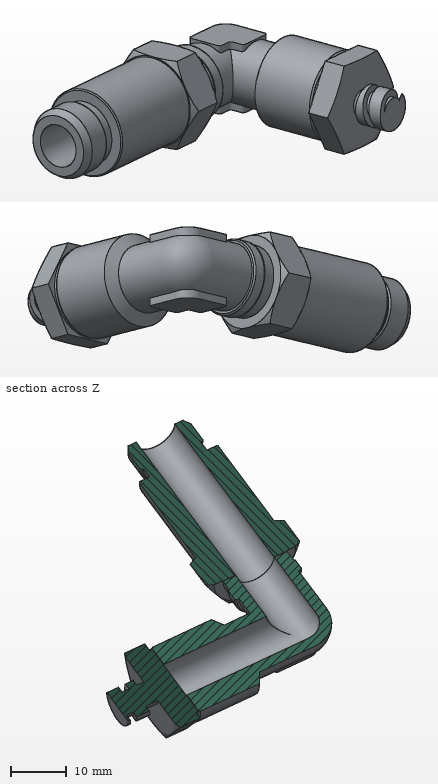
import cadquery as cq
import math


bore_diameter = 8.0
leg_diameter = 12.5
collar_diameter = 14.0
collar_start = 9.9
collar_end = 12.45
collar_chamfer = 0.3
taper_start_diameter = 13.65
taper_end_diameter = 13.35
inlet_leg_end = 14.95
barrel_diameter = 17.0
barrel_cone_start = 11.5
barrel_start = 12.85
barrel_end = 25.5
barrel_chamfer_length = 0.35
neck_diameter = 16.5

pad_height = 6.6
pad_half_width = 3.5
pad_reach = 6.6
pad_outer_radius = 3.0
pad_corner_radius = 0.6

hex_across_flats = barrel_diameter
hex_across_corners = hex_across_flats / math.cos(math.radians(30))
hex_corner_overhang = (hex_across_corners - hex_across_flats) / 2

inlet_hex_length = 7.0
inlet_hex_chamfer_angle = 30
sleeve_diameter = 16.5
sleeve_end = 42.0
sleeve_chamfer = 0.25
undercut_diameter = 12.0
undercut_end = 44.0
tip_diameter = 13.15
tip_back_chamfer = 0.3
tip_bevel_start = 48.55
tip_end_diameter = 11.4
overall_length = 59.8
inlet_end = overall_length - hex_across_corners / 2

nut_hex_start = 25.95
nut_hex_end = 30.55
nut_chamfer_angle = 15
stem_diameter = 5.0
overall_width = 47.3
stem_end = overall_width - hex_across_corners / 2
thread_start = 31.95
thread_diameter = 7.55
thread_pitch = 4.0
groove_start = 30.3
groove_width = 1.4
groove_turns = 2.2
groove_overcut = 0.2


def inlet_turning(profile):
    """Revolve (radius, distance along -Y) points about the inlet axis."""
    points = [(radius, -distance) for radius, distance in profile]
    return cq.Workplane("XY").polyline(points).close().revolve(360, (0, 0), (0, 1))


def outlet_turning(profile):
    """Revolve (distance along +X, radius) points about the outlet axis."""
    return cq.Workplane("XY").polyline(profile).close().revolve(360, (0, 0), (1, 0))


def outlet_cylinder(diameter, start, end):
    """Cylinder on the outlet axis between two distances along it."""
    return cq.Workplane("YZ").workplane(offset=start).circle(diameter / 2).extrude(end - start)


def hexagon(plane, start, length):
    """Hexagonal prism with two flats facing up and down."""
    return cq.Workplane(plane).workplane(offset=start).polygon(6, hex_across_corners).extrude(length)


def corner_chamfer_length(angle):
    """Axial length of a conical chamfer that leaves a face as wide as the flats."""
    return hex_corner_overhang * math.tan(math.radians(angle))


def wrench_pads():
    """L-shaped pads, as one block from the lower face to the upper face."""
    block = (
        cq.Workplane("XY")
        .workplane(offset=-pad_height)
        .moveTo(-pad_half_width, pad_half_width)
        .lineTo(pad_reach, pad_half_width)
        .lineTo(pad_reach, -pad_half_width)
        .lineTo(pad_half_width, -pad_half_width)
        .lineTo(pad_half_width, -pad_reach)
        .lineTo(-pad_half_width, -pad_reach)
        .close()
        .extrude(2 * pad_height)
    )
    block = block.edges("|Z").edges("not >(-1,1,0)").fillet(pad_corner_radius)
    return block.edges("|Z").edges(">(-1,1,0)").fillet(pad_outer_radius)


def make_elbow():
    leg_radius = leg_diameter / 2
    collar_radius = collar_diameter / 2
    barrel_radius = barrel_diameter / 2
    inlet_leg = inlet_turning([
        (0, 0),
        (leg_radius, 0),
        (leg_radius, collar_start),
        (collar_radius - collar_chamfer, collar_start),
        (collar_radius, collar_start + collar_chamfer),
        (collar_radius, collar_end),
        (taper_start_diameter / 2, collar_end),
        (taper_end_diameter / 2, inlet_leg_end),
        (0, inlet_leg_end),
    ])
    outlet_leg = outlet_turning([
        (0, 0),
        (0, leg_radius),
        (barrel_cone_start, leg_radius),
        (barrel_start, barrel_radius),
        (barrel_end - barrel_chamfer_length, barrel_radius),
        (barrel_end, neck_diameter / 2),
        (barrel_end, 0),
    ])
    corner = cq.Workplane("XY").sphere(leg_radius)
    bore_radius = bore_diameter / 2
    inlet_bore = cq.Workplane("XZ").circle(bore_radius).extrude(inlet_leg_end)
    outlet_bore = outlet_cylinder(bore_diameter, 0, barrel_end)
    bore = cq.Workplane("XY").sphere(bore_radius).union(inlet_bore).union(outlet_bore)
    return corner.union(inlet_leg).union(outlet_leg).union(wrench_pads()).cut(bore)


def make_inlet_fitting():
    hex_end = inlet_leg_end + inlet_hex_length
    flat_radius = hex_across_flats / 2
    corner_radius = hex_across_corners / 2
    chamfer_length = corner_chamfer_length(inlet_hex_chamfer_angle)
    hex_envelope = inlet_turning([
        (0, inlet_leg_end),
        (flat_radius, inlet_leg_end),
        (corner_radius, inlet_leg_end + chamfer_length),
        (corner_radius, hex_end - chamfer_length),
        (flat_radius, hex_end),
        (0, hex_end),
    ])
    sleeve_radius = sleeve_diameter / 2
    tip_radius = tip_diameter / 2
    sleeve_and_tip = inlet_turning([
        (0, hex_end),
        (sleeve_radius, hex_end),
        (sleeve_radius, sleeve_end - sleeve_chamfer),
        (sleeve_radius - sleeve_chamfer, sleeve_end),
        (undercut_diameter / 2, sleeve_end),
        (undercut_diameter / 2, undercut_end),
        (tip_radius - tip_back_chamfer, undercut_end),
        (tip_radius, undercut_end + tip_back_chamfer),
        (tip_radius, tip_bevel_start),
        (tip_end_diameter / 2, inlet_end),
        (0, inlet_end),
    ])
    bore = cq.Workplane("XZ").circle(bore_diameter / 2).extrude(inlet_end)
    hex_section = hexagon("XZ", inlet_leg_end, inlet_hex_length).intersect(hex_envelope)
    return hex_section.union(sleeve_and_tip).cut(bore)


def thread_groove():
    """Right-handed helical cutter around the outlet axis, with square flanks."""
    root_radius = stem_diameter / 2
    inner_radius = root_radius - groove_overcut
    outer_radius = thread_diameter / 2 + groove_overcut
    helix = cq.Wire.makeHelix(thread_pitch, groove_turns * thread_pitch, root_radius)
    profile = cq.Workplane("XZ").moveTo((inner_radius + outer_radius) / 2, 0)
    profile = profile.rect(outer_radius - inner_radius, groove_width)
    cutter = profile.sweep(cq.Workplane(helix), isFrenet=True).val()
    start_plane = cq.Plane((groove_start, 0, 0), xDir=(0, -1, 0), normal=(1, 0, 0))
    return cutter.moved(cq.Location(start_plane))


def make_thread():
    """Grooved rod, cut to length after the groove has been cut so that it opens on both end faces."""
    rod = outlet_cylinder(thread_diameter, thread_start - 2 * thread_pitch, stem_end + 2 * thread_pitch)
    grooved_rod = rod.cut(cq.Workplane(thread_groove()))
    return grooved_rod.intersect(outlet_cylinder(2 * thread_diameter, thread_start, stem_end))


def make_cap_nut():
    flat_radius = hex_across_flats / 2
    corner_radius = hex_across_corners / 2
    hex_envelope = outlet_turning([
        (nut_hex_start, 0),
        (nut_hex_start, corner_radius),
        (nut_hex_end - corner_chamfer_length(nut_chamfer_angle), corner_radius),
        (nut_hex_end, flat_radius),
        (nut_hex_end, 0),
    ])
    hex_length = nut_hex_end - nut_hex_start
    hex_section = hexagon("YZ", nut_hex_start, hex_length).intersect(hex_envelope)
    neck = outlet_cylinder(neck_diameter, barrel_end, nut_hex_start)
    stem = outlet_cylinder(stem_diameter, nut_hex_end, stem_end)
    return hex_section.union(neck).union(stem).union(make_thread())


elbow = make_elbow()
inlet_fitting = make_inlet_fitting()
cap_nut = make_cap_nut()

result = cq.Compound.makeCompound([elbow.val(), inlet_fitting.val(), cap_nut.val()])